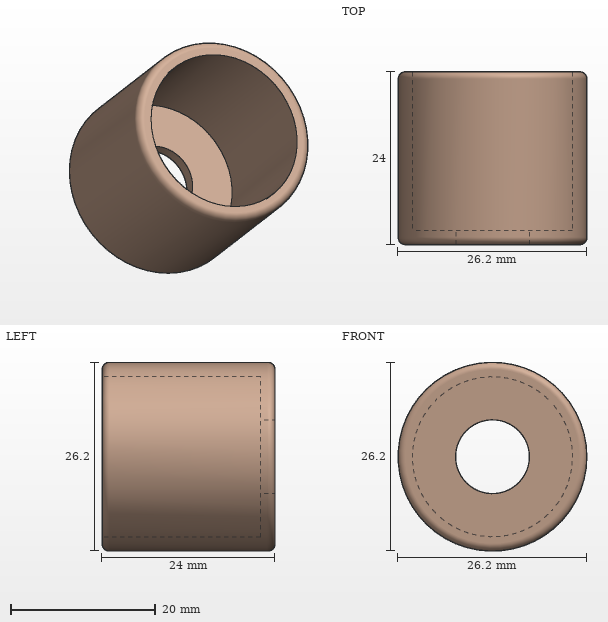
import cadquery as cq

outer_diameter = 26.2
length = 24.0
wall = 2.0
bore_diameter = 10.2
rim_radius = 1.0

cavity_diameter = outer_diameter - 2 * wall
front_y = -length / 2
back_y = length / 2
cavity_start_y = front_y + wall


def cylinder_along_y(diameter, start_y, end_y):
    """Cylinder on the Y axis, running from start_y to end_y."""
    base = cq.Workplane("XZ", origin=(0, start_y, 0))
    return base.circle(diameter / 2).extrude(start_y - end_y)


body = cylinder_along_y(outer_diameter, front_y, back_y)
body = body.faces("<Y or >Y").edges().fillet(rim_radius)

cavity = cylinder_along_y(cavity_diameter, cavity_start_y, back_y)

bore = cylinder_along_y(bore_diameter, front_y, cavity_start_y)

result = body.cut(cavity).cut(bore)